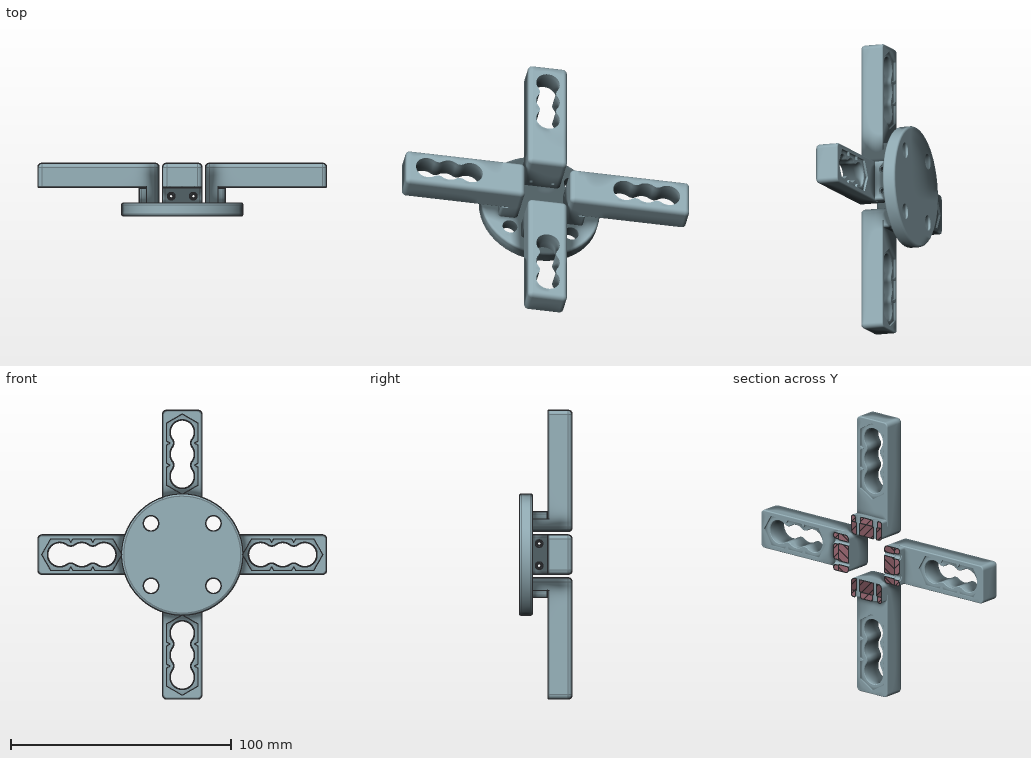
import cadquery as cq
import math

disc_diameter = 55.0
disc_thickness = 6.0
disc_edge_fillet = 1.0
mount_circle_diameter = 40.0
mount_hole_diameter = 6.8
mount_hole_chamfer = 0.15

arm_count = 4
arm_tip_radius = 130.89 / 2
arm_length = 55.0
arm_width = 18.0
bar_thickness = 11.0
arm_back_y = 24.0
arm_back_fillet = 2.0
arm_corner_fillet = 2.0
bar_front_fillet = 0.5
arm_inner_radius = arm_tip_radius - arm_length
bar_front_y = arm_back_y - bar_thickness

leg_length = 5.8
leg_overlap = 2.0
leg_outer_x = arm_inner_radius + leg_length

lug_length = 3.25
lug_corner_fillet = 1.1
lug_gap = 0.3
lug_outer_x = leg_outer_x + lug_length
lug_height = bar_front_y - lug_gap - disc_thickness

screw_spacing = 10.0
screw_y = disc_thickness + 3.0
lug_hole_diameter = 2.4
lug_counterbore_diameter = 3.5
lug_counterbore_depth = 0.5
leg_hole_diameter = 1.6

lobe_pitch = 10.0
lobe_count = 3
lobe_radius = 5.4
waist_radius = 3.0
nut_across_flats = 14.2
nut_recess_depth = 1.0
slot_edge_chamfer = 0.25
slot_centre_x = 45.5
recess_floor_y = bar_front_y + nut_recess_depth
first_lobe_x = slot_centre_x - (lobe_count - 1) / 2 * lobe_pitch
lobe_places = [first_lobe_x + i * lobe_pitch for i in range(lobe_count)]


def plane_facing_front(y):
    """Plane at depth y whose local x and y are the part's X and Z (normal is -Y)."""
    return cq.Workplane("XZ", origin=(0, y, 0))


def around_axis(workplane):
    """Copies of a body, one for each arm position around the Y axis."""
    return [workplane.rotate((0, 0, 0), (0, 1, 0), i * 360 / arm_count) for i in range(arm_count)]


def make_screw_holes(outer_x, diameter, depth):
    """Pair of cylinders running inward along X from outer_x."""
    places = [(screw_y, -screw_spacing / 2), (screw_y, screw_spacing / 2)]
    face = cq.Workplane("YZ", origin=(outer_x, 0, 0))
    return face.pushPoints(places).circle(diameter / 2).extrude(-depth)


def make_lug():
    lug = plane_facing_front(disc_thickness).center(leg_outer_x + lug_length / 2, 0)
    lug = lug.rect(lug_length, arm_width).extrude(-lug_height)
    lug = lug.edges("|Y and >X").fillet(lug_corner_fillet)
    lug = lug.cut(make_screw_holes(lug_outer_x, lug_hole_diameter, lug_length))
    return lug.cut(make_screw_holes(lug_outer_x, lug_counterbore_diameter, lug_counterbore_depth))


def make_mount_holes():
    """Disc holes, midway between the arms, with a small chamfer on the front face."""
    hole = plane_facing_front(0).circle(mount_hole_diameter / 2).extrude(-disc_thickness)
    rim_radius = mount_hole_diameter / 2 + mount_hole_chamfer
    flare = cq.Workplane("XY").lineTo(rim_radius, 0).lineTo(0, rim_radius).close()
    flare = flare.revolve(360, (0, 0, 0), (0, 1, 0))
    hole = hole.union(flare)
    offset = mount_circle_diameter / 2 * math.sqrt(0.5)
    return around_axis(hole.translate((offset, 0, offset)))


def make_hub():
    hub = plane_facing_front(0).circle(disc_diameter / 2).extrude(-disc_thickness)
    hub = hub.edges().fillet(disc_edge_fillet)
    for hole in make_mount_holes():
        hub = hub.cut(hole)
    for lug in around_axis(make_lug()):
        hub = hub.union(lug)
    return hub


def make_bar():
    """Bar with rounded corners, rounded back rim and finely rounded front rim."""
    bar = plane_facing_front(bar_front_y).center(arm_inner_radius + arm_length / 2, 0)
    bar = bar.rect(arm_length, arm_width).extrude(-bar_thickness)
    bar = bar.edges("|Y").fillet(arm_corner_fillet)
    bar = bar.faces(">Y").edges().fillet(arm_back_fillet)
    return bar.faces("<Y").edges().fillet(bar_front_fillet)


def make_leg():
    """Leg flush with the bar's flanks, reaching up past the bar's front rounding."""
    leg_height = bar_front_y + leg_overlap - disc_thickness
    leg = plane_facing_front(disc_thickness).center(arm_inner_radius + leg_length / 2, 0)
    leg = leg.rect(leg_length, arm_width).extrude(-leg_height)
    leg = leg.edges("|Y and <X").fillet(arm_corner_fillet)
    return leg.cut(make_screw_holes(leg_outer_x, leg_hole_diameter, leg_length))


def make_slot():
    """Overlapping round lobes joined by smoothly rounded waists."""
    half_pitch = lobe_pitch / 2
    waist_centre_z = math.sqrt((lobe_radius + waist_radius) ** 2 - half_pitch**2)
    half_waist = waist_centre_z - waist_radius
    touch_share = lobe_radius / (lobe_radius + waist_radius)
    touch_x = half_pitch * touch_share
    touch_z = waist_centre_z * touch_share
    start_x = lobe_places[0]
    end_x = lobe_places[-1]

    outline = plane_facing_front(recess_floor_y).moveTo(start_x + touch_x, -touch_z)
    outline = outline.threePointArc((start_x - lobe_radius, 0), (start_x + touch_x, touch_z))
    for x in lobe_places[1:-1]:
        outline = outline.threePointArc((x - half_pitch, half_waist), (x - touch_x, touch_z))
        outline = outline.threePointArc((x, lobe_radius), (x + touch_x, touch_z))
    outline = outline.threePointArc((end_x - half_pitch, half_waist), (end_x - touch_x, touch_z))
    outline = outline.threePointArc((end_x + lobe_radius, 0), (end_x - touch_x, -touch_z))
    for x in lobe_places[-2:0:-1]:
        outline = outline.threePointArc((x + half_pitch, -half_waist), (x + touch_x, -touch_z))
        outline = outline.threePointArc((x, -lobe_radius), (x - touch_x, -touch_z))
    outline = outline.threePointArc((start_x + half_pitch, -half_waist), (start_x + touch_x, -touch_z))
    return outline.close().extrude(-(arm_back_y - recess_floor_y))


def make_nut_recess():
    """Row of overlapping hexagons with their corners along the arm."""
    across_corners = nut_across_flats / math.cos(math.pi / 6)
    recess = cq.Workplane()
    for x in lobe_places:
        hexagon = plane_facing_front(bar_front_y).center(x, 0).polygon(6, across_corners)
        recess = recess.union(hexagon.extrude(-nut_recess_depth))
    return recess


def chamfer_slot_rim(arm):
    """Chamfer the slot's edges on the floor of the nut recess."""
    margin = slot_edge_chamfer / 2
    half_width = lobe_radius + margin
    rim_box = cq.selectors.BoxSelector(
        (lobe_places[0] - half_width, recess_floor_y - margin, -half_width),
        (lobe_places[-1] + half_width, recess_floor_y + margin, half_width),
    )
    return arm.edges(rim_box).chamfer(slot_edge_chamfer)


def make_arm():
    arm = make_bar().union(make_leg())
    arm = arm.cut(make_nut_recess()).cut(make_slot())
    return chamfer_slot_rim(arm)


hub = make_hub()
arms = [arm.val() for arm in around_axis(make_arm())]

result = cq.Compound.makeCompound([hub.val(), *arms])